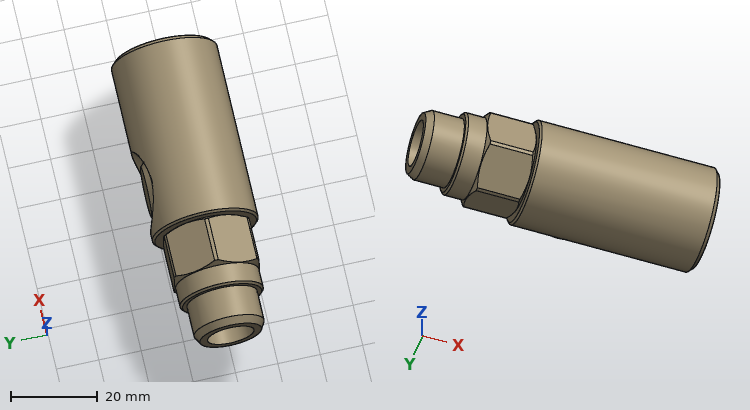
import cadquery as cq
import math

collar_start = 9.0
hex_start = 14.0
body_start = 26.0
total_length = 70.0
nose_tip = -total_length / 2

nose_radius = 8.3
nose_chamfer_depth = 1.0
nose_chamfer_angle = math.radians(30)
nose_chamfer_length = nose_chamfer_depth / math.tan(nose_chamfer_angle)
collar_radius = 9.85
collar_chamfer = 0.5
body_radius = 12.5
body_front_chamfer = 0.5
body_rear_chamfer = 1.0

bore_radius = 5.5
bore_depth = body_start

hex_sides = 6
hex_across_flats = 20.0
hex_corner_radius = 11.3
hex_face_radius = collar_radius
hex_chamfer_angle = math.radians(30)
hex_chamfer_length = (hex_corner_radius - hex_face_radius) * math.tan(hex_chamfer_angle)

button_x = nose_tip + 38.2
button_top = 11.3
button_top_radius = 5.9
countersink_radius = 9.9

countersink_radius_at_top = countersink_radius - (body_radius - button_top)
groove_radius = (countersink_radius_at_top + button_top_radius) / 2
groove_bottom = button_top - (groove_radius - button_top_radius)
cutter_margin = 1.0


def revolve_about_x(profile):
    """Turn a list of (x from nose tip, radius) points about the X axis."""
    points = [(nose_tip + x, radius) for x, radius in profile]
    return cq.Workplane("XY").polyline(points).close().revolve(360, (0, 0, 0), (1, 0, 0))


def make_nose_and_collar():
    return revolve_about_x([
        (0, 0),
        (0, nose_radius - nose_chamfer_depth),
        (nose_chamfer_length, nose_radius),
        (collar_start, nose_radius),
        (collar_start, collar_radius - collar_chamfer),
        (collar_start + collar_chamfer, collar_radius),
        (hex_start, collar_radius),
        (hex_start, 0),
    ])


def make_hexagon():
    """Hexagonal prism with flats facing +/-Y, trimmed by a chamfered cylinder."""
    corner_diameter = hex_across_flats / math.cos(math.pi / hex_sides)
    prism = (
        cq.Workplane("YZ", origin=(nose_tip + hex_start, 0, 0))
        .transformed(rotate=(0, 0, 90))
        .polygon(hex_sides, corner_diameter)
        .extrude(body_start - hex_start)
    )
    envelope = revolve_about_x([
        (hex_start, 0),
        (hex_start, hex_face_radius),
        (hex_start + hex_chamfer_length, hex_corner_radius),
        (body_start - hex_chamfer_length, hex_corner_radius),
        (body_start, hex_face_radius),
        (body_start, 0),
    ])
    return prism.intersect(envelope)


def make_body():
    return revolve_about_x([
        (body_start, 0),
        (body_start, body_radius - body_front_chamfer),
        (body_start + body_front_chamfer, body_radius),
        (total_length - body_rear_chamfer, body_radius),
        (total_length, body_radius - body_rear_chamfer),
        (total_length, 0),
    ])


def make_bore():
    return cq.Workplane("YZ", origin=(nose_tip, 0, 0)).circle(bore_radius).extrude(bore_depth)


def revolve_about_button_axis(profile):
    """Turn a list of (radius, y) points about the button axis, parallel to Y."""
    return (
        cq.Workplane("XY", origin=(button_x, 0, 0))
        .polyline(profile)
        .close()
        .revolve(360, (0, 0, 0), (0, 1, 0))
    )


def make_countersink():
    """Cone around the button, opening out through the body surface."""
    return revolve_about_button_axis([
        (0, groove_bottom),
        (groove_radius, groove_bottom),
        (countersink_radius + cutter_margin, body_radius + cutter_margin),
        (0, body_radius + cutter_margin),
    ])


def make_button():
    """Truncated cone whose upper rim stands slightly proud of the body cylinder."""
    return revolve_about_button_axis([
        (0, groove_bottom),
        (groove_radius, groove_bottom),
        (button_top_radius, button_top),
        (0, button_top),
    ])


outside = make_nose_and_collar().union(make_hexagon()).union(make_body())
result = outside.cut(make_bore()).cut(make_countersink()).union(make_button())